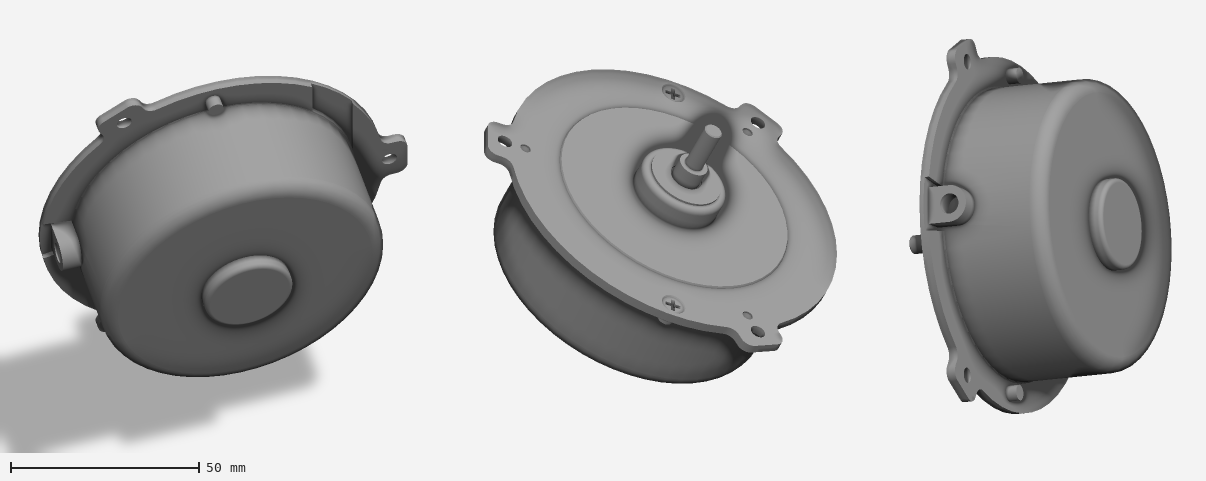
import cadquery as cq
import math


shaft_tip_x = -26.1
collar_front_x = -13.1
hub_lip_x = -8.2
hub_front_x = -7.6
pad_front_x = -0.6
flange_x = 1.2
plate_back_x = 2.5
screw_end_x = 5.7
lug_center_x = 7.3
can_back_x = 32.4
boss_back_x = 36.2

plate_radius = 47.5
tab_reach = 54.0
tab_width = 13.4
tab_corner_radius = 2.9
tab_root_radius = 3.0
tab_angles = (0, 120, 240)
tab_hole_diameter = 4.2
tab_hole_distance = 49.0
dimple_diameter = 2.9
dimple_distance = 43.0
dimple_depth = 0.5

shaft_diameter = 5.0
shaft_chamfer = 0.3
collar_diameter = 8.0
collar_groove_diameter = 9.0
collar_groove_depth = 0.5
hub_diameter = 24.4
hub_lip_diameter = 20.0
hub_edge_radius = 1.5
hub_root_radius = 0.5
pad_diameter = 66.4
pad_face_diameter = 65.7
can_diameter = 78.4
can_edge_radius = 3.9
can_root_radius = 0.4
boss_diameter = hub_diameter
boss_face_diameter = 22.0

lug_radius = 5.0
lug_outer_y = -44.4
lug_hole_diameter = 5.5

lug_gap_half_angle = 8.8
slot_low_y = 27.6
slot_high_y = 38.9

screw_distance = 42.9
screw_shank_diameter = 4.2
screw_sink_diameter = 6.8
screw_head_diameter = 6.0
screw_head_depth = 0.4
cross_span = 4.3
cross_floor_span = 2.9
cross_width = 1.2
cross_depth = 1.2

can_radius = can_diameter / 2
selection_tolerance = 0.01


def section(x):
    """Sketch plane across the axis, with local x along +Y and local y along +Z."""
    return cq.Workplane("YZ", origin=(x, 0, 0))


def disc(diameter, start_x, end_x):
    return section(start_x).circle(diameter / 2).extrude(end_x - start_x)


def cone(start_diameter, end_diameter, start_x, end_x):
    return (
        section(start_x)
        .circle(start_diameter / 2)
        .workplane(offset=end_x - start_x)
        .circle(end_diameter / 2)
        .loft(ruled=True)
    )


def polar_points(distance, angles):
    return [
        (distance * math.cos(math.radians(a)), distance * math.sin(math.radians(a)))
        for a in angles
    ]


def make_plate():
    plate = disc(2 * plate_radius, 0, plate_back_x)
    for angle in tab_angles:
        tab = (
            section(0)
            .center(tab_reach / 2, 0)
            .rect(tab_reach, tab_width)
            .extrude(plate_back_x)
            .edges("|X and >Y")
            .fillet(tab_corner_radius)
            .rotate((0, 0, 0), (1, 0, 0), angle)
        )
        plate = plate.union(tab)

    def at_tab_root(edge):
        center = edge.Center()
        return abs(math.hypot(center.y, center.z) - plate_radius) < selection_tolerance

    tab_roots = plate.edges("|X").filter(at_tab_root)
    plate = plate.newObject(tab_roots.vals()).fillet(tab_root_radius)

    holes = (
        section(0)
        .pushPoints(polar_points(tab_hole_distance, tab_angles))
        .circle(tab_hole_diameter / 2)
        .extrude(plate_back_x)
    )
    dimples = (
        section(0)
        .pushPoints(polar_points(dimple_distance, tab_angles))
        .circle(dimple_diameter / 2)
        .extrude(dimple_depth)
    )
    return plate.cut(holes).cut(dimples)


def make_lug_gap():
    """Wedge around the lug, from the axis out past the plate edge on the -Y side."""
    gap_end_x = plate_back_x + can_root_radius
    gap_half_width = tab_reach * math.tan(math.radians(lug_gap_half_angle))
    return (
        section(flange_x)
        .polyline([(0, 0), (-tab_reach, gap_half_width), (-tab_reach, -gap_half_width)])
        .close()
        .extrude(gap_end_x - flange_x)
    )


def make_flange_slot():
    """Slot open towards +Z whose floor follows the root of the can."""
    slot = (
        section(flange_x)
        .center((slot_low_y + slot_high_y) / 2, plate_radius / 2)
        .rect(slot_high_y - slot_low_y, plate_radius)
        .extrude(plate_back_x - flange_x)
    )
    return slot.cut(disc(can_diameter + 2 * can_root_radius, flange_x, plate_back_x))


def make_can():
    can = disc(can_diameter, flange_x, can_back_x).faces(">X").edges().fillet(can_edge_radius)
    boss_edge_radius = (boss_diameter - boss_face_diameter) / 2
    boss = disc(boss_diameter, can_back_x, boss_back_x).faces(">X").edges().fillet(boss_edge_radius)
    return can.union(boss)


def make_can_root():
    """Ring that blends the flange into the side of the can."""
    ring_radius = can_radius + can_root_radius
    ring_end_x = plate_back_x + can_root_radius
    blend = can_root_radius * (1 - math.sqrt(0.5))
    return (
        cq.Workplane("XY")
        .moveTo(plate_back_x, can_radius - can_root_radius)
        .lineTo(plate_back_x, ring_radius)
        .threePointArc((plate_back_x + blend, can_radius + blend), (ring_end_x, can_radius))
        .lineTo(ring_end_x, can_radius - can_root_radius)
        .close()
        .revolve(360, (0, 0, 0), (1, 0, 0))
    )


def make_front():
    """Shaft, collar, hub and raised pad ahead of the plate."""
    pad = cone(pad_face_diameter, pad_diameter, pad_front_x, 0)
    hub = disc(hub_diameter, hub_front_x, pad_front_x).faces("<X").edges().fillet(hub_edge_radius)
    front = pad.union(hub)
    hub_root = front.edges(cq.selectors.BoxSelector(
        (pad_front_x - selection_tolerance, -hub_diameter, -hub_diameter),
        (pad_front_x + selection_tolerance, hub_diameter, hub_diameter),
        boundingbox=True,
    ))
    front = front.newObject(hub_root.vals()).fillet(hub_root_radius)
    front = front.union(disc(hub_lip_diameter, hub_lip_x, hub_front_x))
    front = front.cut(disc(collar_groove_diameter, hub_lip_x, hub_lip_x + collar_groove_depth))
    collar = disc(collar_diameter, collar_front_x, hub_front_x)
    shaft = disc(shaft_diameter, shaft_tip_x, hub_front_x).faces("<X").edges().chamfer(shaft_chamfer)
    return front.union(collar).union(shaft)


def make_lug():
    lug_plane = cq.Workplane("XZ", origin=(0, lug_outer_y, 0))
    depth = lug_outer_y + can_radius
    outline = (
        lug_plane
        .moveTo(flange_x, -lug_radius)
        .lineTo(lug_center_x, -lug_radius)
        .threePointArc((lug_center_x + lug_radius, 0), (lug_center_x, lug_radius))
        .lineTo(flange_x, lug_radius)
        .close()
    )
    lug = outline.extrude(depth - lug_radius)
    hole = lug_plane.center(lug_center_x, 0).circle(lug_hole_diameter / 2).extrude(depth)
    return lug, hole


def make_cross_arm():
    """One tapered arm of a cross recess, along Y and centred on the axis."""
    return (
        cq.Workplane("XY")
        .polyline([
            (0, -cross_span / 2),
            (0, cross_span / 2),
            (cross_depth, cross_floor_span / 2),
            (cross_depth, -cross_floor_span / 2),
        ])
        .close()
        .extrude(cross_width / 2, both=True)
    )


def make_screw_recess():
    sink = cone(screw_sink_diameter, screw_head_diameter, 0, screw_head_depth)
    arm = make_cross_arm()
    cross = arm.union(arm.rotate((0, 0, 0), (1, 0, 0), 90))
    return sink.union(cross.translate((screw_head_depth, 0, 0)))


result = make_plate().union(make_can_root())
result = result.cut(make_lug_gap()).cut(make_flange_slot())
result = result.union(make_can()).union(make_front())

lug, lug_hole = make_lug()
result = result.union(lug).cut(lug_hole)

for side in (1, -1):
    screw_z = side * screw_distance
    shank = disc(screw_shank_diameter, plate_back_x, screw_end_x)
    result = result.union(shank.translate((0, 0, screw_z)))
    result = result.cut(make_screw_recess().translate((0, 0, screw_z)))